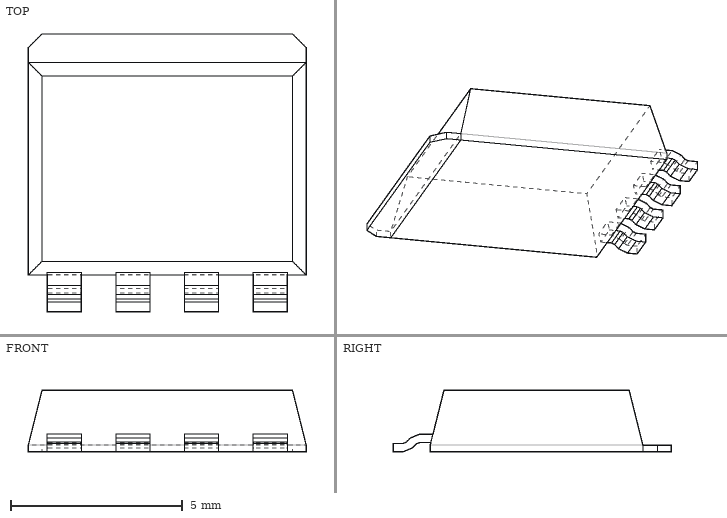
import cadquery as cq
import math

housing_width = 8.1
housing_length = 6.2
housing_height = 1.8
base_height = 0.2
taper_inset = 0.4

tab_length = 0.825
tab_chamfer = 0.4

lead_count = 4
lead_pitch = 2.0
lead_width = 1.0
lead_thickness = 0.25
lead_top = 0.52
lead_reach = 1.075
foot_length = 0.29
bend_angle = math.radians(45)
inner_radius = 0.13

overall_length = lead_reach + housing_length + tab_length
lead_tip_y = -overall_length / 2
housing_front_y = lead_tip_y + lead_reach
housing_back_y = housing_front_y + housing_length
tab_end_y = housing_back_y + tab_length


def housing_wall_y(z):
    """Y of the sloping front wall of the housing at height z."""
    return housing_front_y + taper_inset * (z - base_height) / (housing_height - base_height)


def make_housing():
    center_y = (housing_front_y + housing_back_y) / 2
    base = (
        cq.Workplane("XY")
        .center(0, center_y)
        .rect(housing_width, housing_length)
        .extrude(base_height)
    )
    upper = (
        cq.Workplane("XY", origin=(0, center_y, base_height))
        .rect(housing_width, housing_length)
        .workplane(offset=housing_height - base_height)
        .rect(housing_width - 2 * taper_inset, housing_length - 2 * taper_inset)
        .loft(combine=True, ruled=True)
    )
    return base.union(upper)


def make_tab():
    return (
        cq.Workplane("XY")
        .center(0, (housing_back_y + tab_end_y) / 2)
        .rect(housing_width, tab_length)
        .extrude(base_height)
        .edges("|Z and >Y")
        .chamfer(tab_chamfer)
    )


def make_lead(center_x):
    """Gull-wing lead: flat foot, two opposite bends and a flat shoulder flush with the housing wall.

    Each bend is a flat facet that joins the two ends of its bend circle.
    """
    outer_radius = inner_radius + lead_thickness
    lead_bottom = lead_top - lead_thickness

    bend_rise = (inner_radius + outer_radius) * (1 - math.cos(bend_angle))
    bend_run = (inner_radius + outer_radius) * math.sin(bend_angle)
    ramp_run = (lead_bottom - bend_rise) / math.tan(bend_angle)

    foot_bend_y = lead_tip_y + foot_length
    foot_bend_z = lead_thickness + inner_radius
    shoulder_bend_y = foot_bend_y + bend_run + ramp_run
    shoulder_bend_z = lead_bottom - inner_radius

    def on_foot_bend(radius, angle):
        return (foot_bend_y + radius * math.sin(angle), foot_bend_z - radius * math.cos(angle))

    def on_shoulder_bend(radius, angle):
        return (shoulder_bend_y - radius * math.sin(angle), shoulder_bend_z + radius * math.cos(angle))

    profile = (
        cq.Workplane("YZ", origin=(center_x, 0, 0))
        .moveTo(lead_tip_y, 0)
        .lineTo(*on_foot_bend(outer_radius, 0))
        .lineTo(*on_foot_bend(outer_radius, bend_angle))
        .lineTo(*on_shoulder_bend(inner_radius, bend_angle))
        .lineTo(*on_shoulder_bend(inner_radius, 0))
        .lineTo(housing_wall_y(lead_bottom), lead_bottom)
        .lineTo(housing_wall_y(lead_top), lead_top)
        .lineTo(*on_shoulder_bend(outer_radius, 0))
        .lineTo(*on_shoulder_bend(outer_radius, bend_angle))
        .lineTo(*on_foot_bend(inner_radius, bend_angle))
        .lineTo(*on_foot_bend(inner_radius, 0))
        .lineTo(lead_tip_y, lead_thickness)
        .close()
    )
    return profile.extrude(lead_width / 2, both=True)


housing = make_housing()
tab = make_tab()
leads = []
for index in range(lead_count):
    lead_x = (index - (lead_count - 1) / 2) * lead_pitch
    leads.append(make_lead(lead_x))

result = cq.Compound.makeCompound([housing.val(), tab.val(), *[lead.val() for lead in leads]])